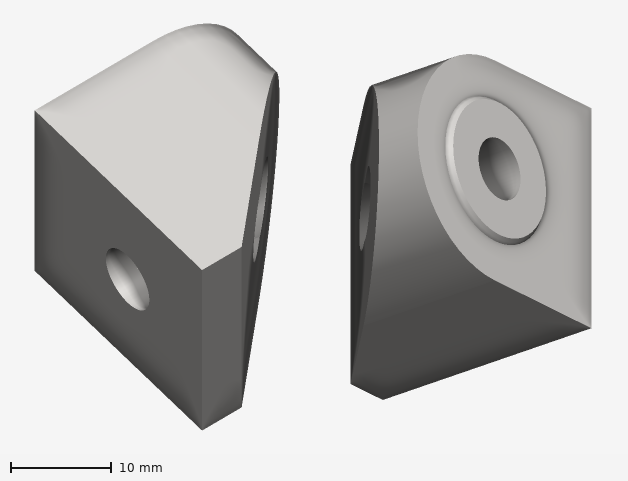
import cadquery as cq

side_length = 27.0
height = 24.0
edge_land = 5.0
end_radius = height / 2
middle_z = height / 2

overall_length = 27.6
pad_height = overall_length - side_length
pad_base_diameter = 15.4
pad_top_diameter = 14.4
pivot_hole_diameter = 6.5
pivot_y = side_length - end_radius

mount_hole_diameter = 7.0
mount_x = 15.0


def make_body():
    """Extruded wedge, trimmed by a side profile with a half-round end."""
    wedge = (
        cq.Workplane("XY")
        .lineTo(side_length, 0)
        .lineTo(side_length, edge_land)
        .lineTo(edge_land, side_length)
        .lineTo(0, side_length)
        .close()
        .extrude(height)
    )
    rounded_profile = (
        cq.Workplane("YZ")
        .lineTo(pivot_y, 0)
        .threePointArc((side_length, middle_z), (pivot_y, height))
        .lineTo(0, height)
        .close()
        .extrude(side_length)
    )
    return wedge.intersect(rounded_profile)


def make_pad():
    """Conical pad narrowing away from the -X face."""
    return (
        cq.Workplane("YZ", origin=(0, pivot_y, middle_z))
        .circle(pad_base_diameter / 2)
        .workplane(offset=-pad_height)
        .circle(pad_top_diameter / 2)
        .loft(ruled=True)
    )


def make_pivot_hole():
    """Cutter along X through the pad and the sloped face."""
    return (
        cq.Workplane("YZ", origin=(-pad_height, pivot_y, middle_z))
        .circle(pivot_hole_diameter / 2)
        .extrude(overall_length)
    )


def make_mount_hole():
    """Cutter along Y through the -Y face and the sloped face."""
    return (
        cq.Workplane("XZ", origin=(mount_x, 0, middle_z))
        .circle(mount_hole_diameter / 2)
        .extrude(-side_length)
    )


result = make_body().union(make_pad()).cut(make_pivot_hole()).cut(make_mount_hole())